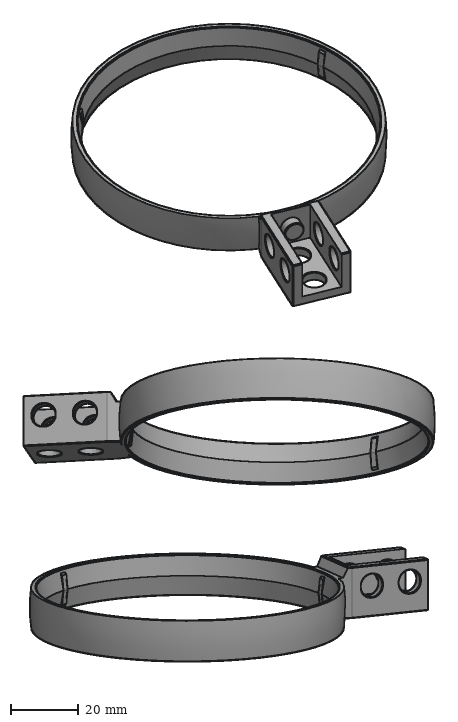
import cadquery as cq

WALL = 3.125

RING_HEIGHT = 4 * WALL
RING_MID_HEIGHT = RING_HEIGHT / 2
RING_OUTER_RADIUS = 15 * WALL
RING_INNER_RADIUS = RING_OUTER_RADIUS - WALL
CROWN_DROP = 0.4
RIDGE_HEIGHT = 1.2
RIM_CHAMFER = 0.3

RIB_COUNT = 3
RIB_WIDTH = 2.2
RIB_MID_RADIUS = RING_INNER_RADIUS - 0.1
RIB_LEAN = 0.5
RIB_END_GAP = 0.6
RIB_BEVEL_HEIGHT = 1.2
RIB_ROOT_OVERLAP = 0.3

FORK_END_X = 24 * WALL
FORK_START_X = 49.7
FORK_WIDTH = 6 * WALL
FORK_HEIGHT = 5 * WALL
SLOT_WIDTH = FORK_WIDTH - 2 * WALL
FORK_CHAMFER = 0.3

NECK_START_X = 45.55
NECK_START_WIDTH = 17.0
SLOPE_FOOT_X = 47.0
SLOPE_TOP_X = 48.6

HOLE_DIAMETER = 7.0
HOLE_PITCH = 4 * WALL
FIRST_HOLE_X = FORK_END_X - 6 * WALL
HOLE_CENTRES_X = [FIRST_HOLE_X, FIRST_HOLE_X + HOLE_PITCH]
SIDE_HOLE_Z = 3 * WALL
HOLE_CHAMFER = 0.25

PEG_DIAMETER = 2 * WALL
PEG_LENGTH = WALL
PEG_Z = SIDE_HOLE_Z
PEG_CHAMFER = 0.3


def make_ring():
    """Revolve the crowned and ridged section, then break the bottom and top inner rims."""
    rim_outer = RING_OUTER_RADIUS - CROWN_DROP
    rim_inner = RING_INNER_RADIUS + RIDGE_HEIGHT
    section = (
        cq.Workplane("XZ")
        .moveTo(rim_outer, 0)
        .threePointArc((RING_OUTER_RADIUS, RING_MID_HEIGHT), (rim_outer, RING_HEIGHT))
        .lineTo(rim_inner, RING_HEIGHT)
        .lineTo(RING_INNER_RADIUS, RING_MID_HEIGHT)
        .lineTo(rim_inner, 0)
        .close()
    )
    ring = section.revolve(360, (0, 0, 0), (0, 1, 0))
    ring = ring.faces("<Z").chamfer(RIM_CHAMFER)
    top_inner_edge = cq.selectors.RadiusNthSelector(0)
    return ring.faces(">Z").edges(top_inner_edge).chamfer(RIM_CHAMFER)


def make_fork_blank():
    """Plan outline of neck and fork, trimmed by the slope and chamfered."""
    plan = [
        (NECK_START_X, NECK_START_WIDTH / 2),
        (FORK_START_X, FORK_WIDTH / 2),
        (FORK_END_X, FORK_WIDTH / 2),
        (FORK_END_X, -FORK_WIDTH / 2),
        (FORK_START_X, -FORK_WIDTH / 2),
        (NECK_START_X, -NECK_START_WIDTH / 2),
    ]
    side = [
        (NECK_START_X, 0),
        (FORK_END_X, 0),
        (FORK_END_X, FORK_HEIGHT),
        (SLOPE_TOP_X, FORK_HEIGHT),
        (SLOPE_FOOT_X, RING_HEIGHT),
        (NECK_START_X, RING_HEIGHT),
    ]
    plan_prism = cq.Workplane("XY").polyline(plan).close().extrude(FORK_HEIGHT)
    side_prism = cq.Workplane("XZ").polyline(side).close().extrude(FORK_WIDTH / 2, both=True)
    blank = plan_prism.intersect(side_prism)
    return blank.faces("<Z or >Z or >X").chamfer(FORK_CHAMFER)


def make_slot():
    """Cutter between the fork walls, above a floor one wall thick."""
    length = FORK_END_X - FORK_START_X
    depth = FORK_HEIGHT - WALL
    slot = cq.Workplane("XY").box(length, SLOT_WIDTH, depth, centered=(False, True, False))
    return slot.translate((FORK_START_X, 0, WALL))


def make_peg():
    """Short round peg pointing along +X into the slot."""
    slot_end = cq.Workplane("YZ", origin=(FORK_START_X, 0, PEG_Z))
    peg = slot_end.circle(PEG_DIAMETER / 2).extrude(PEG_LENGTH)
    return peg.faces(">X").chamfer(PEG_CHAMFER)


def chamfered_hole(length):
    """Cutter along +Z from the origin: a through hole with both rims chamfered."""
    radius = HOLE_DIAMETER / 2
    rim = radius + HOLE_CHAMFER
    profile = [
        (0, 0),
        (rim, 0),
        (radius, HOLE_CHAMFER),
        (radius, length - HOLE_CHAMFER),
        (rim, length),
        (0, length),
    ]
    return cq.Workplane("XZ").polyline(profile).close().revolve(360, (0, 0, 0), (0, 1, 0))


def cut_holes(body):
    """Cut each bolt hole through the floor and through both fork walls."""
    floor_hole = chamfered_hole(WALL)
    wall_hole = floor_hole.rotate((0, 0, 0), (1, 0, 0), 90)
    for x in HOLE_CENTRES_X:
        body = body.cut(floor_hole.translate((x, 0, 0)))
        for hole_start_y in (FORK_WIDTH / 2, WALL - FORK_WIDTH / 2):
            body = body.cut(wall_hole.translate((x, hole_start_y, SIDE_HOLE_Z)))
    return body


def make_fork():
    """Fork and neck with the slot and bolt holes cut."""
    channel = make_fork_blank().cut(make_slot())
    return cut_holes(channel)


def make_grip_ribs():
    """Low upright ribs on the inside of the ring, with bevelled ends."""
    root_radius = RING_INNER_RADIUS + RIDGE_HEIGHT + RIB_ROOT_OVERLAP
    profile = [
        (root_radius, RIB_END_GAP),
        (RIB_MID_RADIUS + RIB_LEAN, RIB_END_GAP + RIB_BEVEL_HEIGHT),
        (RIB_MID_RADIUS, RING_MID_HEIGHT),
        (RIB_MID_RADIUS + RIB_LEAN, RING_HEIGHT - RIB_END_GAP - RIB_BEVEL_HEIGHT),
        (root_radius, RING_HEIGHT - RIB_END_GAP),
    ]
    rib = cq.Workplane("XZ").polyline(profile).close().extrude(RIB_WIDTH / 2, both=True)
    ribs = rib
    for index in range(1, RIB_COUNT):
        ribs = ribs.union(rib.rotate((0, 0, 0), (0, 0, 1), index * 360 / RIB_COUNT))
    return ribs


result = make_ring().union(make_grip_ribs()).union(make_fork()).union(make_peg())